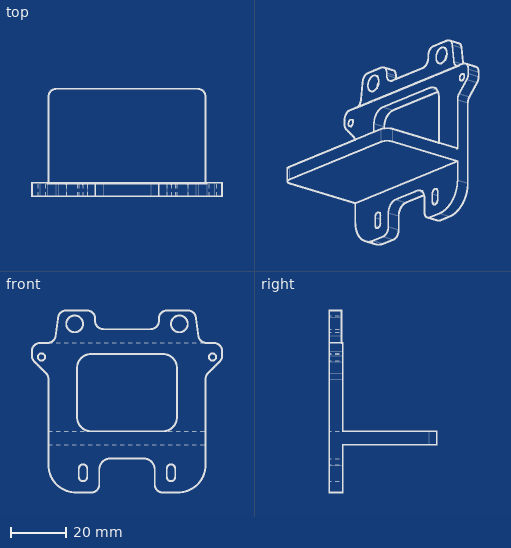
import cadquery as cq
import math

thickness = 5.0
height = 66.0
half_width = 34.5
body_half_width = 28.5
corner_radius = 3.0
bottom_radius = 10.0

ear_top = 54.2
ear_corner_z = 48.4
ear_foot_z = ear_corner_z - (half_width - body_half_width)
ear_hole_x = 31.0
ear_hole_z = 49.1
ear_hole_diameter = 2.55

tab_outer_top_x = 24.6
tab_slope_angle = 7.8
tab_outer_foot_x = tab_outer_top_x + (height - ear_top) * math.tan(math.radians(tab_slope_angle))
tab_inner_x = 11.5
tab_hole_x = 19.0
tab_hole_z = 61.1
tab_hole_diameter = 6.0
top_notch_z = 59.3
top_relief = 0.5

leg_inner_x = 10.0
bottom_notch_z = 12.35
bottom_notch_radius = 4.0
slot_x = 15.95
slot_z = 7.2
slot_length = 6.0
slot_width = 3.0

window_width = 36.1
window_bottom = 22.3
window_height = 27.9
window_radius = 5.0
shelf_depth = 39.0
shelf_thickness = thickness


def edges_along_y(solid, x, z):
    """Edges parallel to Y that pass through (x, z)."""
    reach = 0.1
    lower = (x - reach, -reach, z - reach)
    upper = (x + reach, thickness + reach, z + reach)
    return solid.edges(cq.selectors.BoxSelector(lower, upper))


def make_plate():
    corners = [
        (leg_inner_x, bottom_notch_z, bottom_notch_radius),
        (leg_inner_x, 0, corner_radius),
        (body_half_width, 0, bottom_radius),
        (body_half_width, ear_foot_z, corner_radius),
        (half_width, ear_corner_z, corner_radius),
        (half_width, ear_top, corner_radius),
        (tab_outer_foot_x, ear_top, corner_radius),
        (tab_outer_top_x, height, corner_radius),
        (tab_inner_x, height, corner_radius),
        (tab_inner_x, top_notch_z, corner_radius),
    ]
    right_side = [(x, z) for x, z, _ in corners]
    left_side = [(-x, z) for x, z in reversed(right_side)]
    plate = cq.Workplane("XZ").polyline(right_side + left_side).close().extrude(-thickness)
    for x, z, radius in corners:
        for side_x in (x, -x):
            plate = edges_along_y(plate, side_x, z).fillet(radius)
    return plate


def block(width, depth, bottom, block_height):
    """Box centred on x = 0 that starts at the front face."""
    base = cq.Workplane("XY").workplane(offset=bottom)
    return base.box(width, depth, block_height, centered=(True, False, False))


def make_shelf():
    shelf = block(2 * body_half_width, shelf_depth, window_bottom - shelf_thickness, shelf_thickness)
    return shelf.edges("|Z and >Y").fillet(corner_radius)


def make_window():
    window = block(window_width, thickness, window_bottom, window_height)
    return window.edges("|Y").fillet(window_radius)


def mirrored_holes(x, z, diameter):
    return cq.Workplane("XZ").pushPoints([(x, z), (-x, z)]).circle(diameter / 2).extrude(-thickness)


def make_slots():
    centres = [(slot_x, slot_z), (-slot_x, slot_z)]
    return cq.Workplane("XZ").pushPoints(centres).slot2D(slot_length, slot_width, 90).extrude(-thickness)


def make_top_relief():
    """Shallow step on the back face, everywhere above the ears."""
    relief = block(2 * half_width, top_relief, ear_top, height - ear_top)
    return relief.translate((0, thickness - top_relief, 0))


result = (
    make_plate()
    .cut(make_top_relief())
    .cut(make_window())
    .cut(mirrored_holes(tab_hole_x, tab_hole_z, tab_hole_diameter))
    .cut(mirrored_holes(ear_hole_x, ear_hole_z, ear_hole_diameter))
    .cut(make_slots())
    .union(make_shelf())
)